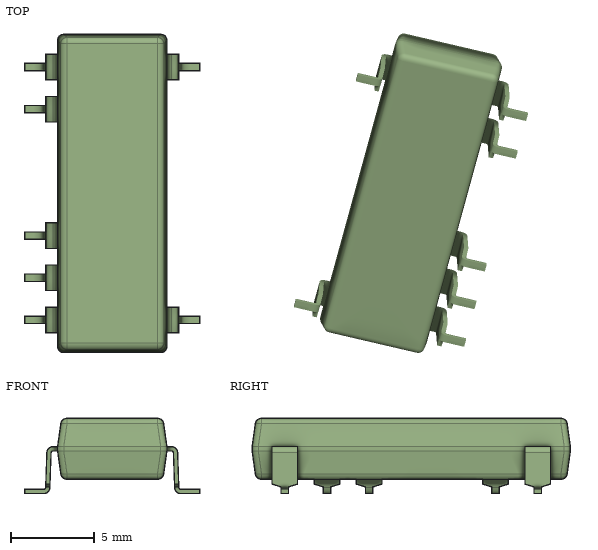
import cadquery as cq
import math

BODY_LENGTH = 19.18
BODY_WIDTH = 6.6
BODY_HEIGHT = 3.68
OVERALL_HEIGHT = 4.55
FOOT_SPAN = 10.57

SIDE_DRAFT = 8.0
BODY_FILLET = 0.38

LEAD_THICKNESS = 0.27
LEAD_WIDTH = 1.55
FOOT_WIDTH = 0.46
LEG_CORNER_X = 3.93
LEG_LEAN = 2.0
BEND_INNER_RADIUS = 0.12
BEND_OUTER_RADIUS = BEND_INNER_RADIUS + LEAD_THICKNESS
TAPER_TOP_Z = 0.58
TAPER_BOTTOM_Z = 0.4

END_LEAD_Y = 7.61
END_LEAD_STEP = 3
PITCH = END_LEAD_Y / END_LEAD_STEP
LEFT_LEAD_STEPS = [-END_LEAD_STEP, -2, -1, 2, END_LEAD_STEP]
RIGHT_LEAD_STEPS = [-END_LEAD_STEP, END_LEAD_STEP]

BODY_MIDDLE_Z = OVERALL_HEIGHT - BODY_HEIGHT / 2
SHOULDER_TOP_Z = BODY_MIDDLE_Z + LEAD_THICKNESS / 2
SHOULDER_BOTTOM_Z = SHOULDER_TOP_Z - LEAD_THICKNESS


def make_body():
    """Molded package: a thin straight band with a drafted, rounded half above and below it."""
    half_height = (BODY_HEIGHT - LEAD_THICKNESS) / 2
    upper_half = (
        cq.Workplane("XY", origin=(0, 0, SHOULDER_TOP_Z))
        .rect(BODY_WIDTH, BODY_LENGTH)
        .extrude(half_height, taper=SIDE_DRAFT)
        .edges("not <Z")
        .fillet(BODY_FILLET)
    )
    lower_half = upper_half.mirror("XY", (0, 0, BODY_MIDDLE_Z))

    band_outline = upper_half.faces("<Z").val()
    band = cq.Workplane(cq.Solid.extrudeLinear(band_outline, cq.Vector(0, 0, -LEAD_THICKNESS)))
    return band.union(upper_half).union(lower_half)


def round_bend(strip, corner_x, corner_z, radius):
    """Round the strip edge that runs along Y through the given corner of the side profile."""
    return strip.edges(cq.NearestToPointSelector((corner_x, 0, corner_z))).fillet(radius)


def make_bent_strip():
    """Gull-wing strip on the +X side: shoulder, leaning leg and foot, at full lead width."""
    lean = math.radians(LEG_LEAN)
    leg_thickness_along_x = LEAD_THICKNESS / math.cos(lean)

    def outer_leg_x(z):
        return LEG_CORNER_X + (SHOULDER_TOP_Z - z) * math.tan(lean)

    def inner_leg_x(z):
        return outer_leg_x(z) - leg_thickness_along_x

    shoulder_outer = (outer_leg_x(SHOULDER_TOP_Z), SHOULDER_TOP_Z)
    shoulder_inner = (inner_leg_x(SHOULDER_BOTTOM_Z), SHOULDER_BOTTOM_Z)
    foot_inner = (outer_leg_x(LEAD_THICKNESS), LEAD_THICKNESS)
    heel = (inner_leg_x(0), 0)

    strip = (
        cq.Workplane("XZ")
        .polyline([
            (BODY_WIDTH / 2, SHOULDER_TOP_Z),
            shoulder_outer,
            foot_inner,
            (FOOT_SPAN / 2, LEAD_THICKNESS),
            (FOOT_SPAN / 2, 0),
            heel,
            shoulder_inner,
            (BODY_WIDTH / 2, SHOULDER_BOTTOM_Z),
        ])
        .close()
        .extrude(LEAD_WIDTH / 2, both=True)
    )
    strip = round_bend(strip, *shoulder_outer, BEND_OUTER_RADIUS)
    strip = round_bend(strip, *shoulder_inner, BEND_INNER_RADIUS)
    strip = round_bend(strip, *foot_inner, BEND_INNER_RADIUS)
    return round_bend(strip, *heel, BEND_OUTER_RADIUS)


def make_lead():
    """One lead on the +X side at Y = 0: the bent strip trimmed to a wide leg and a narrow foot."""
    width_outline = (
        cq.Workplane("YZ")
        .polyline([
            (FOOT_WIDTH / 2, 0),
            (FOOT_WIDTH / 2, TAPER_BOTTOM_Z),
            (LEAD_WIDTH / 2, TAPER_TOP_Z),
            (LEAD_WIDTH / 2, SHOULDER_TOP_Z),
            (-LEAD_WIDTH / 2, SHOULDER_TOP_Z),
            (-LEAD_WIDTH / 2, TAPER_TOP_Z),
            (-FOOT_WIDTH / 2, TAPER_BOTTOM_Z),
            (-FOOT_WIDTH / 2, 0),
        ])
        .close()
        .extrude(FOOT_SPAN / 2)
    )
    return make_bent_strip().intersect(width_outline)


def place_leads(lead, steps):
    """Copies of a lead, each a whole number of pitches from the middle of the body."""
    return [lead.translate((0, step * PITCH, 0)).val() for step in steps]


body = make_body()
right_lead = make_lead()
left_lead = right_lead.mirror("YZ")

right_leads = place_leads(right_lead, RIGHT_LEAD_STEPS)
left_leads = place_leads(left_lead, LEFT_LEAD_STEPS)

result = cq.Compound.makeCompound([body.val(), *right_leads, *left_leads])